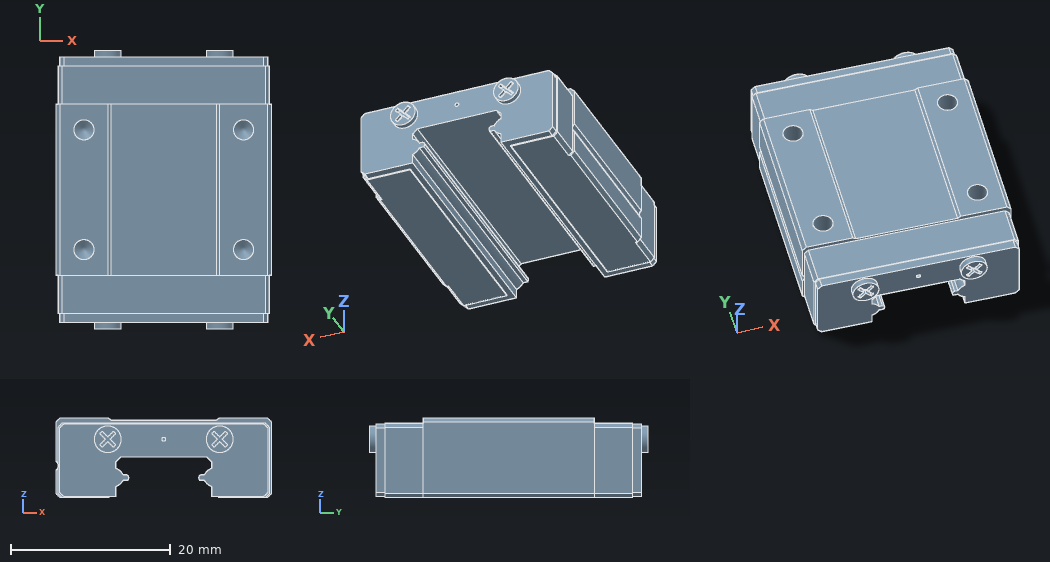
import cadquery as cq
import math

overall_length = 34.9
seal_length = 33.3
cap_length = 31.03
block_length = 21.43

block_width = 27.0
block_height = 10.0
cap_width = 26.5
cap_height = 9.35
seal_width = 26.1
seal_top = 9.25
seal_bottom = 0.15
edge_chamfer = 0.52

relief_width = 13.95
relief_depth = 0.28
relief_slope_width = 0.4
foot_relief_width = 13.68

channel_width = 12.0
channel_top = 5.1
channel_chamfer = 0.63
rib_top_z = 3.7
rib_bottom_z = 1.4
rib_flank_radius = 1.75
rib_embedding = 0.52
lip_root_x = 5.1
lip_shoulder_x = 4.68
lip_round_x = 4.5
lip_tip_x = 4.35
lip_heel_x = 4.45
lip_top_z = 2.9
lip_round_z = 2.8
lip_tip_z = 2.5
lip_bottom_z = 2.15

groove_center_z = 4.0
groove_half_height = 0.55
groove_depth = 0.28

hole_spacing_x = 20.0
hole_spacing_y = 15.0
hole_diameter = 2.5
hole_depth = 4.0
drill_tip_angle = 118.0

screw_spacing = 14.03
screw_diameter = 3.35
screw_z = 7.33
cross_length = 2.4
cross_slot_width = 0.42
cross_depth = 0.63
port_diameter = 0.5

seal_thickness = (seal_length - cap_length) / 2
screw_head_height = (overall_length - seal_length) / 2


def extrude_along_y(profile, length):
    """Extrude an XZ profile symmetrically about Y = 0."""
    return profile.extrude(length / 2, both=True)


def chamfered_bar(width, bottom, top, length):
    profile = cq.Workplane("XZ").center(0, (bottom + top) / 2).rect(width, top - bottom)
    return extrude_along_y(profile, length).edges("|Y").chamfer(edge_chamfer)


def top_relief():
    half_top = relief_width / 2
    half_floor = half_top - relief_slope_width
    floor_z = block_height - relief_depth
    profile = cq.Workplane("XZ").polyline([
        (-half_top, block_height),
        (-half_floor, floor_z),
        (half_floor, floor_z),
        (half_top, block_height),
    ]).close()
    return extrude_along_y(profile, block_length)


def datum_groove():
    face_x = -block_width / 2
    profile = (
        cq.Workplane("XZ")
        .moveTo(face_x, groove_center_z - groove_half_height)
        .threePointArc(
            (face_x + groove_depth, groove_center_z),
            (face_x, groove_center_z + groove_half_height),
        )
        .close()
    )
    return extrude_along_y(profile, block_length)


def rail_channel():
    opening = extrude_along_y(
        cq.Workplane("XZ").center(0, channel_top / 2).rect(channel_width, channel_top),
        seal_length,
    )
    opening = opening.edges("|Y and >Z").chamfer(channel_chamfer)
    foot_relief = extrude_along_y(
        cq.Workplane("XZ").center(0, seal_bottom / 2).rect(foot_relief_width, seal_bottom),
        seal_length,
    )
    return opening.union(foot_relief)


def track_rib():
    """Rib with bulged flanks and a rounded lip on the +X side of the channel."""
    wall_x = channel_width / 2
    embedded_x = wall_x + rib_embedding
    profile = (
        cq.Workplane("XZ")
        .moveTo(embedded_x, rib_bottom_z)
        .lineTo(embedded_x, rib_top_z)
        .lineTo(wall_x, rib_top_z)
        .radiusArc((lip_root_x, lip_top_z), -rib_flank_radius)
        .lineTo(lip_shoulder_x, lip_top_z)
        .threePointArc((lip_round_x, lip_round_z), (lip_tip_x, lip_tip_z))
        .lineTo(lip_heel_x, lip_bottom_z)
        .lineTo(lip_root_x, lip_bottom_z)
        .radiusArc((wall_x, rib_bottom_z), -rib_flank_radius)
        .close()
    )
    return extrude_along_y(profile, seal_length)


def mounting_holes():
    radius = hole_diameter / 2
    tip_height = radius / math.tan(math.radians(drill_tip_angle / 2))
    cylinder_bottom = block_height - hole_depth
    hole = (
        cq.Workplane("XZ")
        .polyline([
            (0, block_height),
            (radius, block_height),
            (radius, cylinder_bottom),
            (0, cylinder_bottom - tip_height),
        ])
        .close()
        .revolve(360, (0, 0), (0, 1))
    )
    positions = cq.Workplane("XY").rect(hole_spacing_x, hole_spacing_y, forConstruction=True)
    positions = positions.vertices()
    return positions.eachpoint(lambda place: hole.val().moved(place))


def front_screws():
    """Two screw heads with diagonal cross slots on the -Y end."""
    screw_positions = [(-screw_spacing / 2, screw_z), (screw_spacing / 2, screw_z)]
    heads = (
        cq.Workplane("XZ", origin=(0, -seal_length / 2, 0))
        .pushPoints(screw_positions)
        .circle(screw_diameter / 2)
        .extrude(screw_head_height)
    )
    for slot_angle in (45, -45):
        slots = (
            cq.Workplane("XZ", origin=(0, -overall_length / 2, 0))
            .pushPoints(screw_positions)
            .sketch()
            .rect(cross_length, cross_slot_width, angle=slot_angle)
            .finalize()
            .extrude(-cross_depth)
        )
        heads = heads.cut(slots)
    return heads


def front_port():
    return (
        cq.Workplane("XZ", origin=(0, -seal_length / 2, 0))
        .center(0, screw_z)
        .circle(port_diameter / 2)
        .extrude(-seal_thickness)
    )


block = chamfered_bar(block_width, 0, block_height, block_length)
caps = chamfered_bar(cap_width, 0, cap_height, cap_length)
seals = chamfered_bar(seal_width, seal_bottom, seal_top, seal_length)
body = block.union(caps).union(seals)
body = body.cut(top_relief()).cut(datum_groove()).cut(rail_channel()).cut(mounting_holes())

rib = track_rib()
body = body.union(rib).union(rib.mirror("YZ"))

screws = front_screws()
port = front_port()
result = body.union(screws).union(screws.mirror("XZ")).cut(port).cut(port.mirror("XZ"))